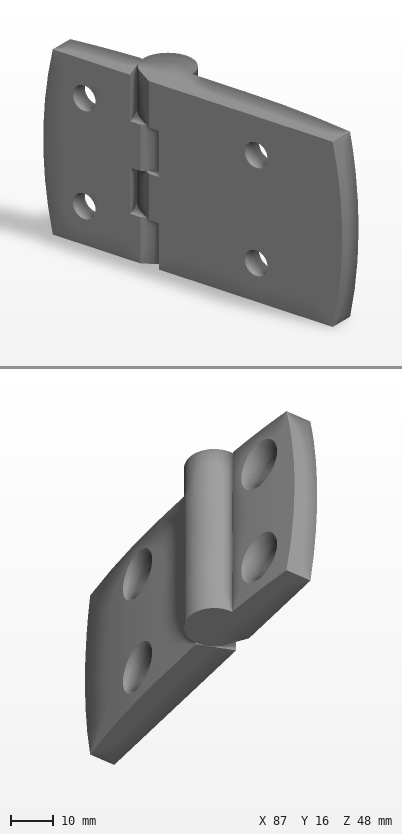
import cadquery as cq
import math

overall_length = 87.0
width = 48.0
overall_thickness = 16.0
mounting_face_y = 0.0

axis_x = 29.5
barrel_diameter = 14.0
barrel_radius = barrel_diameter / 2
axis_y = overall_thickness - barrel_radius
pin_diameter = 6.0

knuckle_count = 4
knuckle_width = width / knuckle_count

foot_offset = 1.2
relief_foot_offset = 4.2
relief_top_offset = 7.5
crown_length = 34.8
crown_radius = 230.1
end_bulge = 2.8

hole_diameter = 6.6
countersink_diameter = 13.05
countersink_angle = 90.0
hole_spacing_z = 28.0
left_hole_x = 11.9
right_hole_x = 61.9


def crown_drop(distance):
    """Drop of the crown at a distance past its tangent line."""
    return crown_radius - math.sqrt(crown_radius**2 - distance**2)


def barrel_tangent_point():
    """Contact point of the sloping knuckle underside with the barrel, relative to the axis."""
    foot_distance = math.hypot(foot_offset, axis_y)
    foot_angle = math.atan2(-axis_y, foot_offset)
    contact_angle = foot_angle - math.acos(barrel_radius / foot_distance)
    return barrel_radius * math.cos(contact_angle), barrel_radius * math.sin(contact_angle)


def leaf_slab(length):
    """Plate with the sloping knuckle underside, running from the axis to the free end."""
    tangent_x, tangent_y = barrel_tangent_point()
    return (
        cq.Workplane("XY")
        .polyline([
            (foot_offset, mounting_face_y),
            (length, mounting_face_y),
            (length, axis_y),
            (0, axis_y),
            (tangent_x, axis_y + tangent_y),
        ])
        .close()
        .extrude(width)
    )


def crown_cutter(length):
    """Material above the curved back face."""
    start = length - crown_length
    middle = crown_length / 2
    return (
        cq.Workplane("XY")
        .moveTo(start, axis_y)
        .threePointArc((start + middle, axis_y - crown_drop(middle)),
                       (length, axis_y - crown_drop(crown_length)))
        .lineTo(length, axis_y)
        .close()
        .extrude(width)
    )


def end_outline(length):
    """Block bounded by the curved free end."""
    corner = length - end_bulge
    return (
        cq.Workplane("XZ")
        .moveTo(-barrel_radius, 0)
        .lineTo(corner, 0)
        .threePointArc((length, width / 2), (corner, width))
        .lineTo(-barrel_radius, width)
        .close()
        .extrude(-axis_y)
    )


def knuckle_relief(bottom_z):
    """Clearance for one knuckle of the opposite leaf."""
    return (
        cq.Workplane("XY", origin=(0, 0, bottom_z))
        .polyline([
            (-barrel_radius, mounting_face_y),
            (relief_foot_offset, mounting_face_y),
            (relief_top_offset, axis_y),
            (-barrel_radius, axis_y),
        ])
        .close()
        .extrude(knuckle_width)
    )


def knuckle_barrel(bottom_z):
    return (
        cq.Workplane("XY", origin=(0, axis_y, bottom_z))
        .circle(barrel_radius)
        .extrude(knuckle_width)
    )


def screw_hole_cutter(length, distance, z):
    """Through hole with a countersink opening on the curved back face."""
    past_tangent = max(0, distance - (length - crown_length))
    surface_y = axis_y - crown_drop(past_tangent)
    slope = math.tan(math.radians(countersink_angle / 2))
    hole_radius = hole_diameter / 2
    top_radius = countersink_diameter / 2 + (axis_y - surface_y) * slope
    cone_depth = (top_radius - hole_radius) / slope
    hole = cq.Solid.makeCylinder(
        hole_radius, axis_y, cq.Vector(distance, mounting_face_y, z), cq.Vector(0, 1, 0)
    )
    cone = cq.Solid.makeCone(
        hole_radius, top_radius, cone_depth,
        cq.Vector(distance, axis_y - cone_depth, z), cq.Vector(0, 1, 0),
    )
    return hole.fuse(cone)


def make_leaf(length, hole_distance, first_knuckle):
    """Leaf with the hinge axis at X = 0 and its free end on the +X side."""
    leaf = leaf_slab(length).cut(crown_cutter(length)).intersect(end_outline(length))
    for index in range(knuckle_count):
        bottom_z = index * knuckle_width
        if index % 2 != first_knuckle:
            leaf = leaf.cut(knuckle_relief(bottom_z))
    for index in range(first_knuckle, knuckle_count, 2):
        leaf = leaf.union(knuckle_barrel(index * knuckle_width))
    for side in (-1, 1):
        hole_z = width / 2 + side * hole_spacing_z / 2
        leaf = leaf.cut(cq.Workplane(screw_hole_cutter(length, hole_distance, hole_z)))
    return leaf.cut(make_pin())


def make_pin():
    """Hinge pin, flush with both ends of the knuckles, on the axis at X = 0."""
    return cq.Workplane("XY", origin=(0, axis_y, 0)).circle(pin_diameter / 2).extrude(width)


to_axis = (axis_x, 0, 0)
left_leaf = make_leaf(axis_x, axis_x - left_hole_x, first_knuckle=0).mirror("YZ").translate(to_axis)
right_leaf = make_leaf(overall_length - axis_x, right_hole_x - axis_x, first_knuckle=1).translate(to_axis)
pin = make_pin().translate(to_axis)

result = cq.Compound.makeCompound([left_leaf.val(), right_leaf.val(), pin.val()])